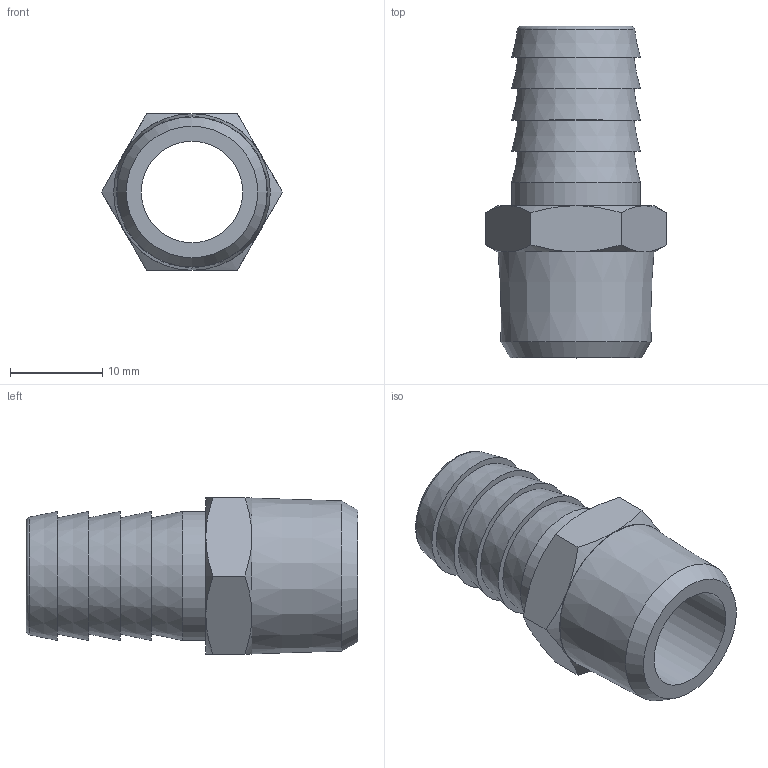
import cadquery as cq
import math

hex_sides = 6
hex_across_flats = 17.0
hex_length = 5.0
hex_chamfer_angle = 30.0
hex_face_radius = hex_across_flats / 2
hex_corner_radius = hex_face_radius / math.cos(math.pi / hex_sides)

thread_length = 11.5
thread_base_diameter = 16.9
thread_taper = 1 / 16
thread_chamfer_length = 1.75
thread_chamfer_angle = 30.0

barb_count = 5
barb_pitch = 3.4
barb_crest_diameter = 14.0
barb_root_diameter = 12.6
neck_length = 2.5
tip_fillet_radius = 0.5

bore_diameter = 11.0

hex_start = thread_length
hex_end = hex_start + hex_length
barbs_start = hex_end + neck_length
total_length = barbs_start + barb_count * barb_pitch


def revolve_about_y(outline):
    """Turn a closed (radius, y) outline a full turn about the Y axis."""
    return outline.close().revolve(360, (0, 0, 0), (0, 1, 0))


def make_thread_end():
    base_radius = thread_base_diameter / 2
    tapered_length = thread_length - thread_chamfer_length
    tip_radius = base_radius - tapered_length * thread_taper / 2
    face_radius = tip_radius - thread_chamfer_length * math.tan(math.radians(thread_chamfer_angle))
    outline = (
        cq.Workplane("ZY")
        .lineTo(face_radius, 0)
        .lineTo(tip_radius, thread_chamfer_length)
        .lineTo(base_radius, hex_start)
        .lineTo(0, hex_start)
    )
    return revolve_about_y(outline)


def make_hexagon():
    prism = (
        cq.Workplane("XZ", origin=(0, hex_end, 0))
        .polygon(hex_sides, 2 * hex_corner_radius)
        .extrude(hex_length)
    )
    bevel_depth = (hex_corner_radius - hex_face_radius) * math.tan(math.radians(hex_chamfer_angle))
    envelope = (
        cq.Workplane("ZY")
        .moveTo(0, hex_start)
        .lineTo(hex_face_radius, hex_start)
        .lineTo(hex_corner_radius, hex_start + bevel_depth)
        .lineTo(hex_corner_radius, hex_end - bevel_depth)
        .lineTo(hex_face_radius, hex_end)
        .lineTo(0, hex_end)
    )
    return prism.intersect(revolve_about_y(envelope))


def make_hose_tail():
    crest_radius = barb_crest_diameter / 2
    root_radius = barb_root_diameter / 2
    outline = (
        cq.Workplane("ZY")
        .moveTo(0, hex_end)
        .lineTo(crest_radius, hex_end)
        .lineTo(crest_radius, barbs_start)
    )
    for barb in range(1, barb_count + 1):
        barb_end = barbs_start + barb * barb_pitch
        outline = outline.lineTo(root_radius, barb_end)
        if barb < barb_count:
            outline = outline.lineTo(crest_radius, barb_end)
    tail = revolve_about_y(outline.lineTo(0, total_length))
    return tail.faces(">Y").edges().fillet(tip_fillet_radius)


def make_bore():
    return cq.Workplane("XZ").circle(bore_diameter / 2).extrude(-total_length)


result = make_thread_end().union(make_hexagon()).union(make_hose_tail()).cut(make_bore())